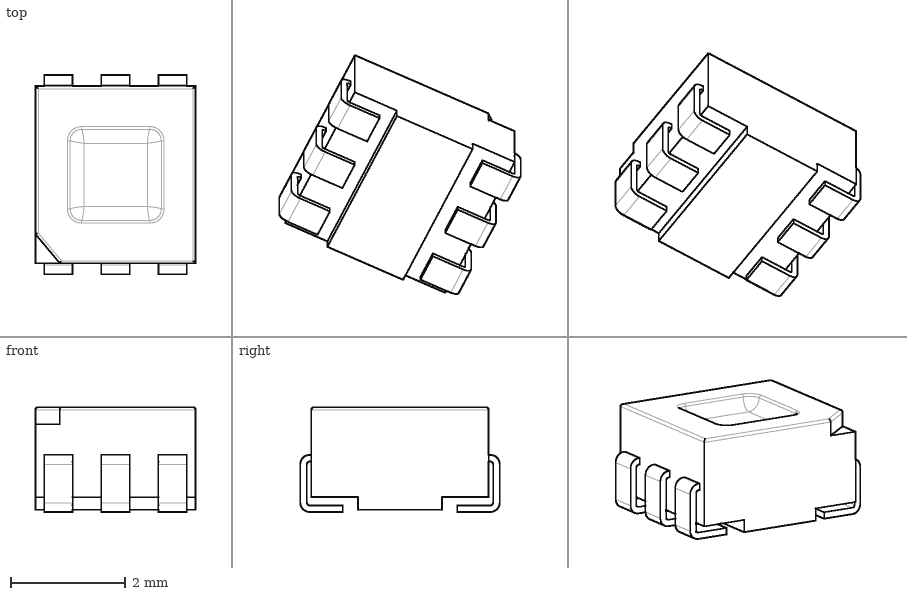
import cadquery as cq

overall_length = 3.5
overall_height = 1.84

body_width = 2.81
body_length = 3.11
body_bottom = 0.262
edge_radius = 0.05

foot_length = 1.475
foot_bottom = 0.04

notch_width = 0.43
notch_length = 0.515
notch_depth = 0.3

cup_size = 1.603
cup_depth = 0.25
cup_corner_radius = 0.2

leads_per_side = 3
lead_pitch = 1.0
lead_width = 0.5
lead_thickness = 0.12
lead_height = 1.005
lead_foot_length = 0.75
lead_inner_radius = 0.05
lead_outer_radius = lead_inner_radius + lead_thickness


def make_block(width, length, bottom, top):
    """Box centred on the Z axis, between two heights."""
    return (
        cq.Workplane("XY")
        .workplane(offset=bottom)
        .rect(width, length)
        .extrude(top - bottom)
    )


def make_corner_notch():
    """Triangular prism removed from the -X, -Y top corner."""
    corner_x = -body_width / 2
    corner_y = -body_length / 2
    return (
        cq.Workplane("XY")
        .workplane(offset=overall_height - notch_depth)
        .moveTo(corner_x, corner_y)
        .lineTo(corner_x + notch_width, corner_y)
        .lineTo(corner_x, corner_y + notch_length)
        .close()
        .extrude(notch_depth)
    )


def make_cup_cutter():
    """Rounded cup volume, extended above the body so its walls start vertical."""
    floor_height = overall_height - cup_depth
    cutter_top = overall_height + cup_depth
    block = make_block(cup_size, cup_size, floor_height, cutter_top)
    rounded_corners = block.edges("|Z").fillet(cup_corner_radius)
    return rounded_corners.faces("<Z").edges().fillet(cup_depth)


def make_body():
    """Notched body with its foot, rounded top rim and reflector cup."""
    body = make_block(body_width, body_length, body_bottom, overall_height)
    body = body.cut(make_corner_notch())
    body = body.faces(">Z").edges().fillet(edge_radius)

    body = body.cut(make_cup_cutter())
    cup_rim = body.faces(">Z").val().innerWires()[0].Edges()
    body = body.newObject(cup_rim).fillet(edge_radius)

    foot = make_block(body_width, foot_length, foot_bottom, body_bottom)
    return body.union(foot)


def make_lead():
    """C-shaped lead at the +Y end; its upper arm is buried in the body."""
    arm_start = overall_length / 2 - lead_foot_length
    blank = (
        cq.Workplane("XY")
        .box(lead_width, lead_foot_length, lead_height, centered=(True, False, False))
        .edges("|X and >Y")
        .fillet(lead_outer_radius)
    )
    hollow = (
        cq.Workplane("XY")
        .workplane(offset=lead_thickness)
        .box(
            lead_width,
            lead_foot_length - lead_thickness,
            lead_height - 2 * lead_thickness,
            centered=(True, False, False),
        )
        .edges("|X and >Y")
        .fillet(lead_inner_radius)
    )
    return blank.cut(hollow).translate((0, arm_start, 0))


result = make_body()
for index in range(leads_per_side):
    lead_x = (index - (leads_per_side - 1) / 2) * lead_pitch
    lead = make_lead().translate((lead_x, 0, 0))
    result = result.union(lead).union(lead.mirror("XZ"))